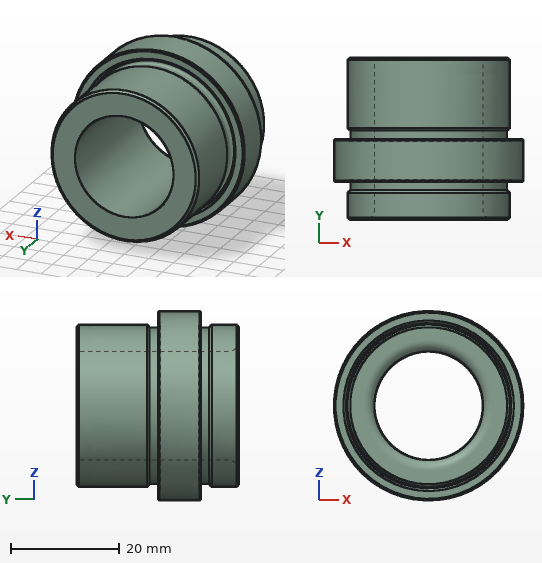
import cadquery as cq
import math


body_radius = 15.0
rear_length = 15.0
front_length = 15.0
bore_radius = 10.0
bore_mouth_fillet = 2.0
end_chamfer = 0.5
lead_length = 3.0

flange_radius = 17.5
flange_width = 8.0
flange_chamfer = 0.3

groove_depth = 0.5
groove_width = 2.0
groove_fillet = 0.5
recess_depth = 0.5
recess_floor_radius = 15.25

groove_radius = body_radius - groove_depth
recess_mouth_radius = recess_floor_radius + recess_depth
front_end = -front_length
flange_front = -flange_width
arc_inset = 1 - math.sqrt(0.5)


def undercut_points(flange_face, outward):
    """Undercut profile from body to flange; outward is the Y sign pointing away from the flange."""
    floor = flange_face - outward * recess_depth
    body_edge = flange_face + outward * groove_width
    full_body = (body_radius, body_edge)
    groove_end = (groove_radius, body_edge - outward * groove_depth)
    fillet_start = (groove_radius, floor + outward * groove_fillet)
    fillet_middle = (
        groove_radius + groove_fillet * arc_inset,
        floor + outward * groove_fillet * arc_inset,
    )
    fillet_end = (groove_radius + groove_fillet, floor)
    recess_floor = (recess_floor_radius, floor)
    recess_mouth = (recess_mouth_radius, flange_face)
    return [full_body, groove_end, fillet_start, fillet_middle, fillet_end, recess_floor, recess_mouth]


def draw_undercut(outline, points):
    """Three lines up to the fillet, the fillet arc, and two lines onward; works in either direction."""
    first, second, arc_start, arc_middle, arc_end, sixth, last = points
    outline = outline.lineTo(*first).lineTo(*second).lineTo(*arc_start)
    outline = outline.threePointArc(arc_middle, arc_end)
    return outline.lineTo(*sixth).lineTo(*last)


def half_section():
    """Closed profile in the XY plane: radius along X, bush axis along Y."""
    outline = cq.Workplane("XY").moveTo(bore_radius, rear_length)
    outline = outline.lineTo(bore_radius, front_end + bore_mouth_fillet)
    outline = outline.threePointArc(
        (bore_radius + bore_mouth_fillet * arc_inset, front_end + bore_mouth_fillet * arc_inset),
        (bore_radius + bore_mouth_fillet, front_end),
    )

    outline = outline.lineTo(body_radius - end_chamfer, front_end)
    outline = outline.lineTo(body_radius, front_end + end_chamfer)
    outline = draw_undercut(outline, undercut_points(flange_front, -1))

    outline = outline.lineTo(flange_radius - flange_chamfer, flange_front)
    outline = outline.lineTo(flange_radius, flange_front + flange_chamfer)
    outline = outline.lineTo(flange_radius, -flange_chamfer)
    outline = outline.lineTo(flange_radius - flange_chamfer, 0)

    outline = draw_undercut(outline, undercut_points(0, 1)[::-1])
    outline = outline.lineTo(body_radius, rear_length - lead_length)
    outline = outline.lineTo(body_radius, rear_length - end_chamfer)
    outline = outline.lineTo(body_radius - end_chamfer, rear_length)
    return outline.close()


result = half_section().revolve(360, (0, 0, 0), (0, 1, 0), clean=False)